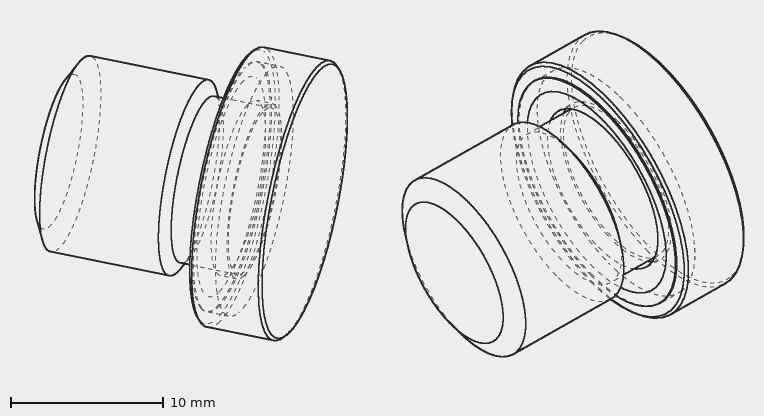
import cadquery as cq
import math


head_diameter = 18.8
head_length = 5.0
head_chamfer = 0.2

shank_diameter = 13.157
shank_length = 12.0
neck_diameter = 11.2
neck_length = 2.43
cone_angle = math.radians(60)
tip_chamfer_length = 0.8
tip_diameter = shank_diameter - 2 * tip_chamfer_length * math.tan(cone_angle)
neck_cone_length = (shank_diameter - neck_diameter) / 2 / math.tan(cone_angle)

recess_diameter = 16.8
recess_depth = 1.5
ring_outer_diameter = 16.78
ring_bore_diameter = 11.78
ring_mouth_diameter = 14.8
ring_cone_depth = 0.5
ring_protrusion = 0.1


def revolve_about_x(outline):
    """Turn a closed (x, radius) outline about the X axis into a solid."""
    return cq.Workplane("XY").polyline(outline).close().revolve(360, (0, 0, 0), (1, 0, 0))


def make_plug():
    """Headed plug with a relieved neck and a ring recess under the head."""
    head_radius = head_diameter / 2
    shank_radius = shank_diameter / 2
    neck_radius = neck_diameter / 2
    recess_radius = recess_diameter / 2
    outline = [
        (-shank_length, 0),
        (-shank_length, tip_diameter / 2),
        (-shank_length + tip_chamfer_length, shank_radius),
        (-neck_length - neck_cone_length, shank_radius),
        (-neck_length, neck_radius),
        (recess_depth, neck_radius),
        (recess_depth, recess_radius),
        (0, recess_radius),
        (0, head_radius - head_chamfer),
        (head_chamfer, head_radius),
        (head_length - head_chamfer, head_radius),
        (head_length, head_radius - head_chamfer),
        (head_length, 0),
    ]
    return revolve_about_x(outline)


def make_sealing_ring():
    """Ring that rests on the recess floor, with a conical mouth facing the shank."""
    face_x = -ring_protrusion
    bore_radius = ring_bore_diameter / 2
    outer_radius = ring_outer_diameter / 2
    outline = [
        (recess_depth, bore_radius),
        (face_x + ring_cone_depth, bore_radius),
        (face_x, ring_mouth_diameter / 2),
        (face_x, outer_radius),
        (recess_depth, outer_radius),
    ]
    return revolve_about_x(outline)


plug = make_plug()
sealing_ring = make_sealing_ring()

result = cq.Compound.makeCompound([plug.val(), sealing_ring.val()])